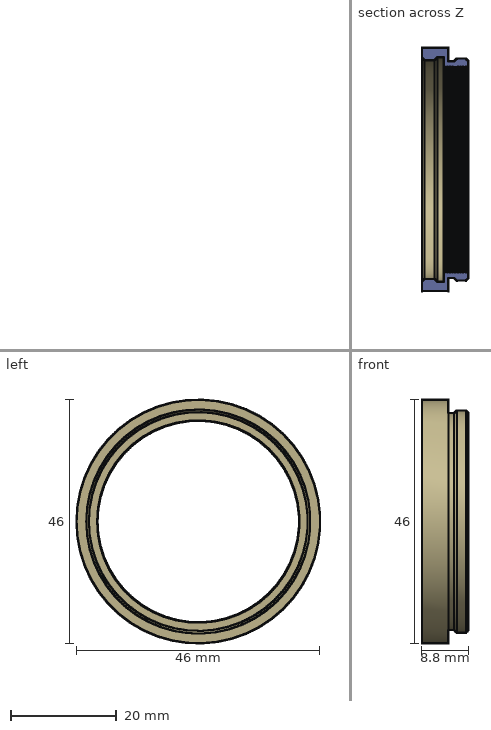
import cadquery as cq
import math

length = 8.8
flange_diameter = 46.0
flange_length = 5.0

thread_diameter = 42.0
neck_diameter = 41.0
neck_end = 6.05
thread_chamfer = (thread_diameter - neck_diameter) / 2

socket_mouth_diameter = 42.27
socket_diameter = 41.25
relief_diameter = 42.3
socket_depth = 4.1
relief_width = 1.7
relief_chamfer = (relief_diameter - socket_diameter) / 2
socket_chamfer = (socket_mouth_diameter - socket_diameter) / 2

crest_diameter = 38.0
ridge_count = 9
crest_span = 4.0
ridge_pitch = crest_span / (ridge_count - 1)
flank_angle = 60
flank_slope = math.tan(math.radians(flank_angle))
mouth_depth = 0.1


def revolve_about_x(points):
    """Revolve a closed outline of (x, radius) points about the X axis."""
    return cq.Workplane("XY").polyline(points).close().revolve(360, (0, 0, 0), (1, 0, 0))


def ring_body():
    """Flange, neck and chamfered thread as one solid of revolution."""
    flange_radius = flange_diameter / 2
    neck_radius = neck_diameter / 2
    thread_radius = thread_diameter / 2
    return revolve_about_x([
        (0, 0),
        (0, flange_radius),
        (flange_length, flange_radius),
        (flange_length, neck_radius),
        (neck_end, neck_radius),
        (neck_end + thread_chamfer, thread_radius),
        (length - thread_chamfer, thread_radius),
        (length, neck_radius),
        (length, 0),
    ])


def socket():
    """Stepped recess that opens on the flange face."""
    socket_radius = socket_diameter / 2
    relief_radius = relief_diameter / 2
    relief_start = socket_depth - relief_width
    return revolve_about_x([
        (0, 0),
        (0, socket_mouth_diameter / 2),
        (socket_chamfer, socket_radius),
        (relief_start, socket_radius),
        (relief_start + relief_chamfer, relief_radius),
        (socket_depth, relief_radius),
        (socket_depth, 0),
    ])


def ridged_bore():
    """Through bore whose wall is a row of equal V grooves, starting and ending part way down a groove."""
    crest_radius = crest_diameter / 2
    root_radius = crest_radius + flank_slope * ridge_pitch / 2
    mouth_radius = crest_radius + mouth_depth
    first_crest = socket_depth + ridge_pitch - mouth_depth / flank_slope
    points = [(socket_depth, 0), (socket_depth, mouth_radius)]
    for ridge in range(ridge_count):
        crest = first_crest + ridge * ridge_pitch
        points.append((crest - ridge_pitch / 2, root_radius))
        points.append((crest, crest_radius))
    last_crest = first_crest + crest_span
    points.append((length, crest_radius + flank_slope * (length - last_crest)))
    points.append((length, 0))
    return revolve_about_x(points)


result = ring_body().cut(socket()).cut(ridged_bore())